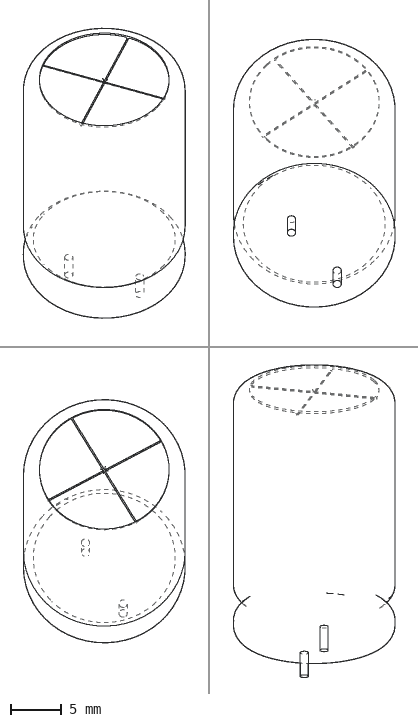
import cadquery as cq
import math

total_height = 29.0
can_diameter = 16.0
lead_length = 2.5

edge_radius = 1.6
crimp_height = 6.4
crimp_depth = 1.0
crimp_half_width = 1.9
crimp_radius = 1.0

top_recess_depth = 0.2
vent_wall_radius = 0.23
vent_floor_width = 0.15
land_overlap = 0.58

lead_diameter = 0.8
lead_spacing = 7.5

mark_width = 3.2
mark_height = 5.35
mark_corner_radius = 0.8
mark_pitch = 8.67
mark_count = 3
lowest_mark_height = 7.08

can_radius = can_diameter / 2
top_radius = can_radius - edge_radius
land_top = total_height - top_recess_depth
groove_floor = land_top - vent_wall_radius
land_base = groove_floor - land_overlap


def make_can():
    """Revolve the can profile, with the crimp blended into the wall by tangent arcs."""
    waist_radius = can_radius - crimp_depth
    radius_sum = (crimp_half_width**2 + crimp_depth**2) / (2 * crimp_depth)
    shoulder_radius = radius_sum - crimp_radius
    blend_angle = math.asin(crimp_half_width / radius_sum)
    blend_r = waist_radius + crimp_radius * (1 - math.cos(blend_angle))
    blend_dz = crimp_radius * math.sin(blend_angle)
    shoulder_mid_r = can_radius - shoulder_radius * (1 - math.cos(blend_angle / 2))
    shoulder_mid_dz = crimp_half_width - shoulder_radius * math.sin(blend_angle / 2)
    edge_mid_inset = edge_radius * (1 - math.sqrt(0.5))
    edge_mid_r = can_radius - edge_mid_inset

    profile = (
        cq.Workplane("XZ")
        .moveTo(0, lead_length)
        .lineTo(top_radius, lead_length)
        .threePointArc((edge_mid_r, lead_length + edge_mid_inset), (can_radius, lead_length + edge_radius))
        .lineTo(can_radius, crimp_height - crimp_half_width)
        .threePointArc((shoulder_mid_r, crimp_height - shoulder_mid_dz), (blend_r, crimp_height - blend_dz))
        .threePointArc((waist_radius, crimp_height), (blend_r, crimp_height + blend_dz))
        .threePointArc(
            (shoulder_mid_r, crimp_height + shoulder_mid_dz),
            (can_radius, crimp_height + crimp_half_width),
        )
        .lineTo(can_radius, total_height - edge_radius)
        .threePointArc((edge_mid_r, total_height - edge_mid_inset), (top_radius, total_height))
        .lineTo(top_radius, groove_floor)
        .lineTo(0, groove_floor)
        .close()
    )
    return profile.revolve(360, (0, 0, 0), (0, 1, 0))


def make_top_lands():
    """Four quarter lands with rolled-over edges, leaving crossed flat-floored vent grooves between them."""
    land_size = can_diameter
    near_corner = vent_floor_width / 2
    land = (
        cq.Workplane("XY")
        .box(land_size, land_size, land_top, centered=False)
        .faces(">Z")
        .edges("<X or <Y")
        .fillet(vent_wall_radius)
        .translate((near_corner, near_corner, 0))
    )
    core = cq.Workplane("XY").workplane(offset=land_base).circle(top_radius).extrude(total_height - land_base)
    land = land.intersect(core)
    return [land.rotate((0, 0, 0), (0, 0, 1), quarter * 90) for quarter in range(4)]


def make_leads():
    """Two round leads below the can."""
    return (
        cq.Workplane("XY")
        .pushPoints([(-lead_spacing / 2, 0), (lead_spacing / 2, 0)])
        .circle(lead_diameter / 2)
        .extrude(lead_length)
    )


def inlay_marks(body):
    """Divide the -X surface into flush rounded marks without changing the shape."""
    for index in range(mark_count):
        mark = (
            cq.Workplane("XY")
            .box(can_radius, mark_width, mark_height)
            .edges("|X")
            .fillet(mark_corner_radius)
            .translate((-can_radius, 0, lowest_mark_height + index * mark_pitch))
        )
        inlay = body.intersect(mark)
        body = body.cut(mark, clean=False).union(inlay, clean=False)
    return body


can = make_can().union(make_leads())
for top_land in make_top_lands():
    can = can.union(top_land)
result = inlay_marks(can)